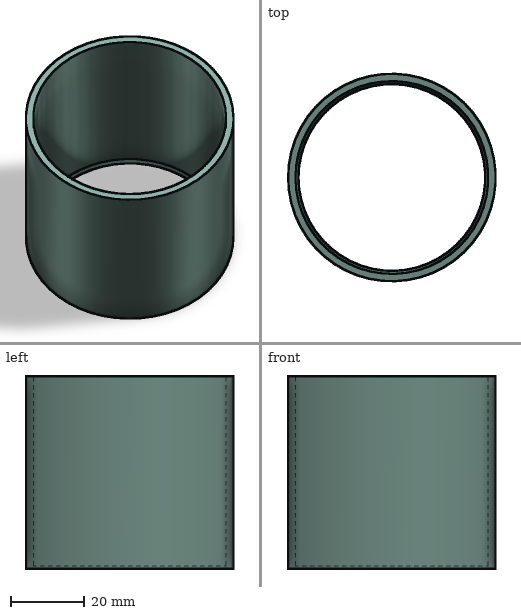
import cadquery as cq

outer_diameter = 56.8
height = 52.75
bore_diameter = 52.75
lip_diameter = 51.0

outer_radius = outer_diameter / 2
bore_radius = bore_diameter / 2
lip_radius = lip_diameter / 2
lip_taper_height = bore_radius - lip_radius


def lipped_sleeve():
    """Straight sleeve whose bore narrows through a short cone to a lip at the bottom."""
    wall_section = (
        cq.Workplane("XZ")
        .moveTo(-lip_radius, 0)
        .lineTo(-outer_radius, 0)
        .lineTo(-outer_radius, height)
        .lineTo(-bore_radius, height)
        .lineTo(-bore_radius, lip_taper_height)
        .close()
    )
    return wall_section.revolve(360, (0, 0, 0), (0, 1, 0))


result = lipped_sleeve()